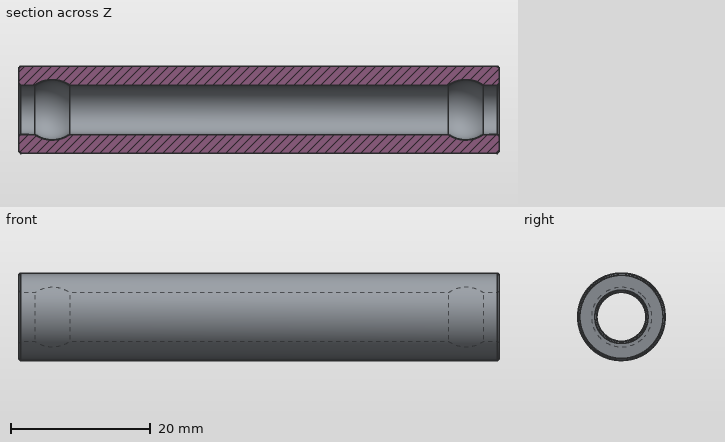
import cadquery as cq
import math

length = 68.75
outer_diameter = 12.5
edge_chamfer = 0.3

bore_diameter = 7.0
seat_diameter = 8.6
lip_length = 2.35

bore_radius = bore_diameter / 2
seat_radius = seat_diameter / 2

seat_half_width = math.sqrt(seat_radius**2 - bore_radius**2)
seat_depth = lip_length + seat_half_width


def chamfered_tube():
    """Tube with every end edge chamfered."""
    tube = cq.Workplane("YZ").circle(outer_diameter / 2).circle(bore_radius).extrude(length)
    return tube.faces("<X or >X").edges().chamfer(edge_chamfer)


def seat(center_x):
    """Sphere on the tube axis, widening the bore."""
    return cq.Workplane("YZ", origin=(center_x, 0, 0)).sphere(seat_radius)


result = chamfered_tube()
for center_x in (seat_depth, length - seat_depth):
    result = result.cut(seat(center_x))